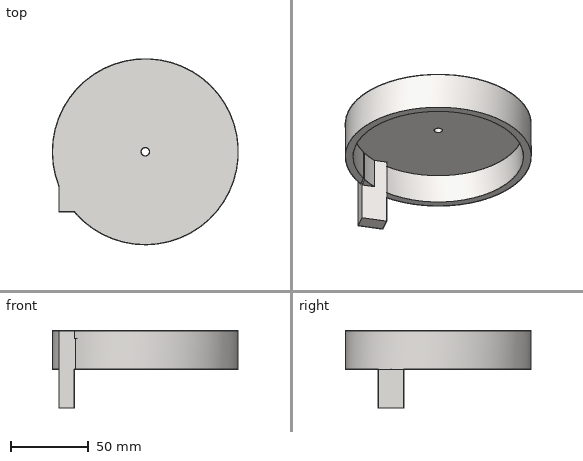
import cadquery as cq

cap_diameter = 120.0
cap_radius = cap_diameter / 2
cap_height = 25.1
wall_thickness = 5.0
top_thickness = wall_thickness
cavity_radius = cap_radius - wall_thickness
cavity_height = cap_height - top_thickness
bore_diameter = 5.3

leg_left = -55.8
leg_front = -38.8
leg_width = 10.1
leg_depth = 16.5
leg_height = 50.0
leg_bottom = cap_height - leg_height

slit_width = 1.1


def box_from(x, y, z, width, depth, height):
    """Box whose lowest corner is at (x, y, z)."""
    return cq.Workplane("XY").box(width, depth, height, centered=False).translate((x, y, z))


def cylinder(radius, height):
    """Upright cylinder on the Z axis, standing on Z = 0."""
    return cq.Workplane("XY").circle(radius).extrude(height)


cap = cylinder(cap_radius, cap_height).cut(cylinder(cavity_radius, cavity_height))

leg = box_from(leg_left, leg_front, leg_bottom, leg_width, leg_depth, leg_height)

slit = box_from(-cap_radius, leg_front - slit_width, 0, cap_radius, slit_width, cavity_height)

bore = cylinder(bore_diameter / 2, cap_height)

result = cap.cut(slit).union(leg).cut(bore)